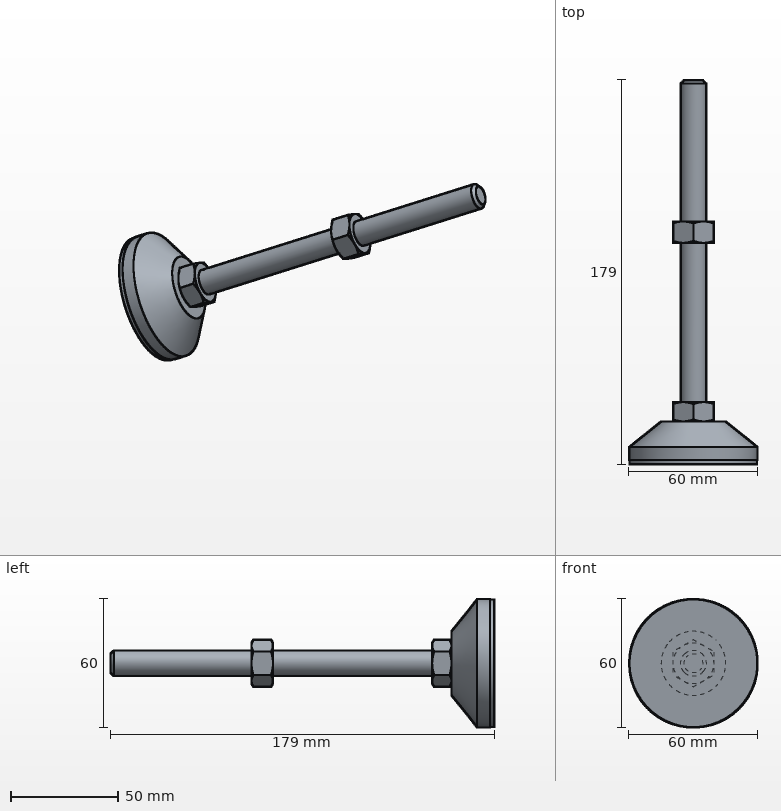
import cadquery as cq
import math

overall_length = 179.0

foot_diameter = 60.0
foot_height = 20.0
rim_height = 8.0
foot_top_diameter = 30.0
pad_thickness = 2.0
pad_inset = 0.2

stem_diameter = 12.0
stem_chamfer = 1.6

across_flats = 19.0
across_corners = across_flats / math.cos(math.radians(30))
hex_chamfer_angle = 30.0
fixed_hex_height = 9.0
lock_nut_height = 10.0
lock_nut_start = 103.2


def revolve_profile(points):
    """Revolve a closed (radius, Y) outline about the Y axis, starting on the -X side."""
    half_section = [(-radius, y) for radius, y in points]
    return cq.Workplane("XY").polyline(half_section).close().revolve(360, (0, 0, 0), (0, 1, 0))


def make_foot():
    rim_radius = foot_diameter / 2
    pad_radius = rim_radius - pad_inset
    return revolve_profile([
        (0, 0),
        (pad_radius, 0),
        (pad_radius, pad_thickness),
        (rim_radius, pad_thickness),
        (rim_radius, rim_height),
        (foot_top_diameter / 2, foot_height),
        (0, foot_height),
    ])


def make_stem():
    radius = stem_diameter / 2
    return revolve_profile([
        (0, foot_height),
        (radius, foot_height),
        (radius, overall_length - stem_chamfer),
        (radius - stem_chamfer, overall_length),
        (0, overall_length),
    ])


def make_hexagon(start, height):
    """Hexagon with two corners on the Z direction and both ends chamfered down to the flats."""
    end = start + height
    face_radius = across_flats / 2
    corner_radius = across_corners / 2
    drop = (corner_radius - face_radius) * math.tan(math.radians(hex_chamfer_angle))

    prism = (
        cq.Workplane("XZ", origin=(0, start, 0))
        .polygon(6, across_corners)
        .extrude(-height)
        .rotate((0, 0, 0), (0, 1, 0), 90)
    )
    envelope = revolve_profile([
        (0, start),
        (face_radius, start),
        (corner_radius, start + drop),
        (corner_radius, end - drop),
        (face_radius, end),
        (0, end),
    ])
    return prism.intersect(envelope)


fixed_hex = make_hexagon(foot_height, fixed_hex_height)
lock_nut = make_hexagon(lock_nut_start, lock_nut_height)

result = make_foot().union(make_stem()).union(fixed_hex).union(lock_nut)